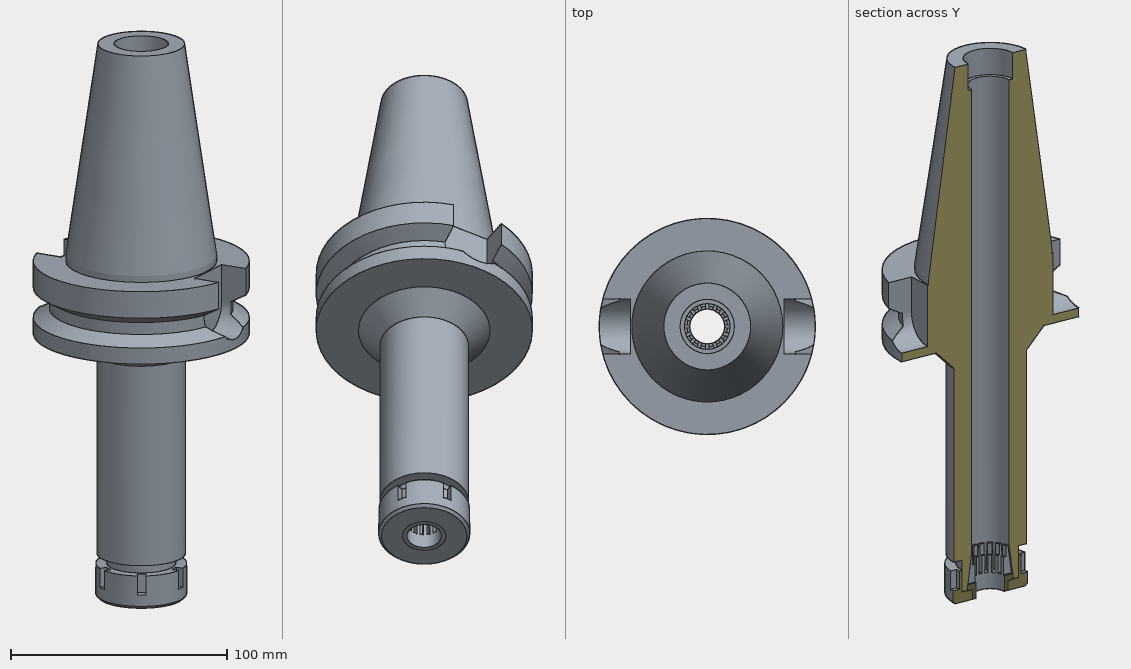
import cadquery as cq
import math

TOTAL_HEIGHT = 266.8
TAPER_LENGTH = 102.0
TAPER_RATIO = 7 / 24
GAUGE_DIAMETER = 70.0
GAUGE_Z = TOTAL_HEIGHT - TAPER_LENGTH
TAPER_TOP_DIAMETER = GAUGE_DIAMETER - TAPER_LENGTH * TAPER_RATIO

COLLAR_HEIGHT = 3.0
FLANGE_DIAMETER = 100.0
FLANGE_HEIGHT = 35.0
FLANGE_TOP_Z = GAUGE_Z - COLLAR_HEIGHT
FLANGE_BOTTOM_Z = FLANGE_TOP_Z - FLANGE_HEIGHT
GROOVE_DIAMETER = 85.0
GROOVE_CENTER_DROP = 20.0
GROOVE_CENTER_Z = FLANGE_TOP_Z - GROOVE_CENTER_DROP
GROOVE_MOUTH = 14.5
GROOVE_FLANK_ANGLE = 30.0
GROOVE_DEPTH = (FLANGE_DIAMETER - GROOVE_DIAMETER) / 2
GROOVE_FLOOR = GROOVE_MOUTH - 2 * GROOVE_DEPTH * math.tan(math.radians(GROOVE_FLANK_ANGLE))

KEYWAY_WIDTH = 25.5
KEYWAY_FLOOR_X = 35.5
KEYWAY_BOTTOM_Z = 131.5

SHANK_DIAMETER = 41.0
CONE_DIAMETER = 60.8
CONE_BOTTOM_Z = FLANGE_BOTTOM_Z - (CONE_DIAMETER - SHANK_DIAMETER) / 2
SHANK_BOTTOM_Z = 20.8
NECK_DIAMETER = 32.0

NUT_DIAMETER = 42.2
NUT_HEIGHT = 16.0
NUT_CHAMFER = 1.3
NUT_LIP = 5.0
NUT_SLOT_COUNT = 6
NUT_SLOT_WIDTH = 4.0
NUT_SLOT_FLOOR_RADIUS = 17.5
NUT_SLOT_BOTTOM_Z = 7.0

PULL_STUD_BORE = 25.0
PULL_STUD_DEPTH = 13.0
MAIN_BORE = 21.0

COLLET_BORE = 16.0
COLLET_RELIEF_BORE = 18.7
COLLET_RELIEF_DEPTH = 5.3
COLLET_MAX_DIAMETER = 26.0
COLLET_NOSE_DIAMETER = 20.0
COLLET_TAPER_ANGLE = 8.0
COLLET_TAPER_LENGTH = (COLLET_MAX_DIAMETER - MAIN_BORE) / 2 / math.tan(math.radians(COLLET_TAPER_ANGLE))
COLLET_TOP_Z = NUT_LIP + COLLET_TAPER_LENGTH
COLLET_SLIT_COUNT = 16
COLLET_SLIT_WIDTH = 1.5
COLLET_SLIT_END_Z = 8.0


def revolve_profile(points):
    """Turn a closed (radius, height) outline about the Z axis."""
    return cq.Workplane("XZ").polyline(points).close().revolve(360, (0, 0), (0, 1))


def make_keyway(side):
    """Round-bottomed drive slot, open upward, on the given X side (+1 or -1)."""
    radius = KEYWAY_WIDTH / 2
    arc_center_z = KEYWAY_BOTTOM_Z + radius
    depth = FLANGE_DIAMETER / 2 - KEYWAY_FLOOR_X
    return (
        cq.Workplane("YZ", origin=(side * KEYWAY_FLOOR_X, 0, 0))
        .moveTo(-radius, FLANGE_TOP_Z)
        .lineTo(-radius, arc_center_z)
        .threePointArc((0, KEYWAY_BOTTOM_Z), (radius, arc_center_z))
        .lineTo(radius, FLANGE_TOP_Z)
        .close()
        .extrude(side * depth)
    )


def make_holder():
    flange_radius = FLANGE_DIAMETER / 2
    groove_radius = GROOVE_DIAMETER / 2
    holder = revolve_profile([
        (COLLET_MAX_DIAMETER / 2, NUT_LIP),
        (MAIN_BORE / 2, COLLET_TOP_Z),
        (MAIN_BORE / 2, TOTAL_HEIGHT - PULL_STUD_DEPTH),
        (PULL_STUD_BORE / 2, TOTAL_HEIGHT - PULL_STUD_DEPTH),
        (PULL_STUD_BORE / 2, TOTAL_HEIGHT),
        (TAPER_TOP_DIAMETER / 2, TOTAL_HEIGHT),
        (GAUGE_DIAMETER / 2, GAUGE_Z),
        (GAUGE_DIAMETER / 2, FLANGE_TOP_Z),
        (flange_radius, FLANGE_TOP_Z),
        (flange_radius, GROOVE_CENTER_Z + GROOVE_MOUTH / 2),
        (groove_radius, GROOVE_CENTER_Z + GROOVE_FLOOR / 2),
        (groove_radius, GROOVE_CENTER_Z - GROOVE_FLOOR / 2),
        (flange_radius, GROOVE_CENTER_Z - GROOVE_MOUTH / 2),
        (flange_radius, FLANGE_BOTTOM_Z),
        (CONE_DIAMETER / 2, FLANGE_BOTTOM_Z),
        (SHANK_DIAMETER / 2, CONE_BOTTOM_Z),
        (SHANK_DIAMETER / 2, SHANK_BOTTOM_Z),
        (NECK_DIAMETER / 2, SHANK_BOTTOM_Z),
        (NECK_DIAMETER / 2, NUT_LIP),
    ])
    for side in (1, -1):
        holder = holder.cut(make_keyway(side))
    return holder


def make_nut():
    outer_radius = NUT_DIAMETER / 2
    nut = revolve_profile([
        (COLLET_NOSE_DIAMETER / 2, 0),
        (outer_radius - NUT_CHAMFER, 0),
        (outer_radius, NUT_CHAMFER),
        (outer_radius, NUT_HEIGHT),
        (NECK_DIAMETER / 2, NUT_HEIGHT),
        (NECK_DIAMETER / 2, NUT_LIP),
        (COLLET_NOSE_DIAMETER / 2, NUT_LIP),
    ])
    slot = cq.Workplane("XY").box(
        outer_radius - NUT_SLOT_FLOOR_RADIUS,
        NUT_SLOT_WIDTH,
        NUT_HEIGHT - NUT_SLOT_BOTTOM_Z,
        centered=(False, True, False),
    ).translate((NUT_SLOT_FLOOR_RADIUS, 0, NUT_SLOT_BOTTOM_Z))
    for index in range(NUT_SLOT_COUNT):
        nut = nut.cut(slot.rotate((0, 0, 0), (0, 0, 1), index * 360 / NUT_SLOT_COUNT))
    return nut


def make_collet():
    collet = revolve_profile([
        (COLLET_BORE / 2, 0),
        (COLLET_NOSE_DIAMETER / 2, 0),
        (COLLET_NOSE_DIAMETER / 2, NUT_LIP),
        (COLLET_MAX_DIAMETER / 2, NUT_LIP),
        (MAIN_BORE / 2, COLLET_TOP_Z),
        (COLLET_RELIEF_BORE / 2, COLLET_TOP_Z),
        (COLLET_RELIEF_BORE / 2, COLLET_TOP_Z - COLLET_RELIEF_DEPTH),
        (COLLET_BORE / 2, COLLET_TOP_Z - COLLET_RELIEF_DEPTH),
    ])
    slit = cq.Workplane("XY").box(
        COLLET_MAX_DIAMETER / 2,
        COLLET_SLIT_WIDTH,
        COLLET_TOP_Z - COLLET_SLIT_END_Z,
        centered=(False, True, False),
    ).translate((0, 0, COLLET_SLIT_END_Z))
    for index in range(COLLET_SLIT_COUNT):
        collet = collet.cut(slit.rotate((0, 0, 0), (0, 0, 1), index * 360 / COLLET_SLIT_COUNT))
    return collet


holder = make_holder()
nut = make_nut()
collet = make_collet()

result = cq.Compound.makeCompound([holder.val(), nut.val(), collet.val()])